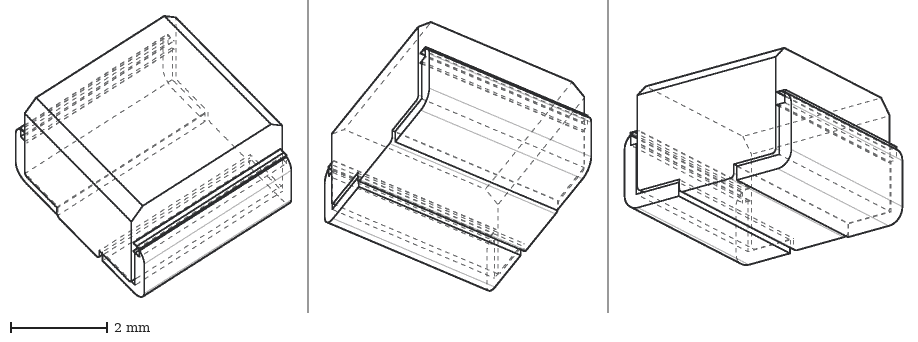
import cadquery as cq

overall_width = 4.3
overall_height = 2.8

body_depth = 4.0
body_width = 3.57
body_bottom = 0.35
top_chamfer = 0.3
pedestal_width = 1.41
pedestal_bottom = 0.05
lower_edge_radius = 0.1

terminal_depth = 3.9
terminal_thickness = 0.31
terminal_height = 1.73
terminal_bend_radius = 0.35
foot_length = 1.4

lip_height = 0.3
lip_inset = terminal_thickness / 2
lip_wall = 0.015

body_side = body_width / 2
terminal_outer = overall_width / 2


def block(x_min, x_max, z_min, z_max, depth):
    """Box given by its X and Z limits, centred on Y = 0."""
    return (
        cq.Workplane("XY")
        .box(x_max - x_min, depth, z_max - z_min)
        .translate(((x_min + x_max) / 2, 0, (z_min + z_max) / 2))
    )


def make_body():
    """Body with chamfered front and back top edges and a pedestal underneath."""
    main = block(-body_side, body_side, body_bottom, overall_height, body_depth)
    main = main.faces(">Z").edges("|X").chamfer(top_chamfer)
    main = main.faces("<Z").edges("|Y").fillet(lower_edge_radius)

    pedestal_side = pedestal_width / 2
    pedestal = block(-pedestal_side, pedestal_side, pedestal_bottom, body_bottom, body_depth)
    pedestal = pedestal.faces("<Z").edges("|Y").fillet(lower_edge_radius)
    return main.union(pedestal)


def make_left_terminal():
    """L-shaped terminal on the -X side, with its open-ended hollow lip."""
    inner_side = -terminal_outer + terminal_thickness
    foot_end = -terminal_outer + foot_length
    lip_side = -terminal_outer + lip_inset
    lip_bottom = terminal_height - lip_height

    upright = block(-terminal_outer, inner_side, 0, terminal_height, terminal_depth)
    foot = block(-terminal_outer, foot_end, 0, terminal_thickness, terminal_depth)
    lip = block(lip_side, -body_side, lip_bottom, terminal_height, terminal_depth)

    rounded_envelope = block(-terminal_outer, foot_end, 0, terminal_height, terminal_depth)
    rounded_envelope = rounded_envelope.faces("<X").edges("|Y").fillet(terminal_bend_radius)

    hollow = block(
        lip_side + lip_wall,
        -body_side,
        lip_bottom + lip_wall,
        terminal_height - lip_wall,
        terminal_depth,
    ).intersect(rounded_envelope)

    return upright.union(foot).intersect(rounded_envelope).union(lip).cut(hollow)


body = make_body()

left_terminal = make_left_terminal()
terminals = []
for turn in (0, 180):
    terminals.append(left_terminal.rotate((0, 0, 0), (0, 0, 1), turn).solids().val())

result = cq.Compound.makeCompound([body.solids().val(), *terminals])